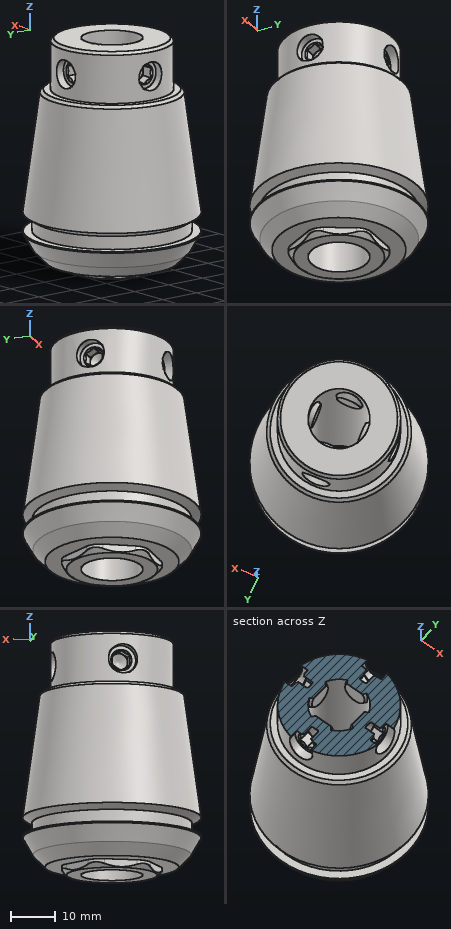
import cadquery as cq
import math

total_height = 54.0
bore_radius = 14.0 / 2

collar_radius = 28.0 / 2
shoulder_z = 42.0
edge_chamfer = 0.7

sleeve_top_radius = 16.34
sleeve_base_radius = 40.64 / 2
sleeve_base_z = 13.2
undercut_angle = 30.0

groove_radius = 36.4 / 2

nut_radius = 40.55 / 2
nut_top_z = 8.9
nut_rim_height = 0.35
nut_break_radius = 18.05
nut_break_z = 4.68
nut_bottom_z = 1.85

hex_across_flats = 21.0
hex_corner_radius = 4.0
hex_chamfer_base_radius = 10.35

screw_count = 4
screw_z = 47.6
screw_radius = 8.0 / 2
screw_length = 6.0
screw_tip_position = 5.6
screw_tip_radius = 2.88
screw_tip_angle = 30.0
screw_hole_radius = 6.65 / 2
socket_across_flats = 4.0
socket_depth = 3.0
socket_chamfer_radius = 4.8 / 2
drill_point_angle = 120.0

screw_head_position = screw_tip_position + screw_length


def hexagon_corner_diameter(across_flats):
    return across_flats / math.cos(math.radians(30))


def make_turned_body():
    """Collar, sleeve, groove and clamping nut as one revolved profile."""
    sleeve_slope = (sleeve_base_radius - sleeve_top_radius) / (shoulder_z - sleeve_base_z)
    undercut_height = (sleeve_base_radius - groove_radius) * math.tan(math.radians(undercut_angle))
    nut_bottom_radius = nut_break_radius - (nut_break_z - nut_bottom_z)
    profile = [
        (0, total_height),
        (collar_radius - edge_chamfer, total_height),
        (collar_radius, total_height - edge_chamfer),
        (collar_radius, shoulder_z),
        (sleeve_top_radius - edge_chamfer, shoulder_z),
        (sleeve_top_radius + sleeve_slope * edge_chamfer, shoulder_z - edge_chamfer),
        (sleeve_base_radius, sleeve_base_z),
        (groove_radius, sleeve_base_z - undercut_height),
        (groove_radius, nut_top_z),
        (nut_radius, nut_top_z),
        (nut_radius, nut_top_z - nut_rim_height),
        (nut_break_radius, nut_break_z),
        (nut_bottom_radius, nut_bottom_z),
        (0, nut_bottom_z),
    ]
    return cq.Workplane("XZ").polyline(profile).close().revolve(360, (0, 0, 0), (0, 1, 0))


def make_hexagon_end():
    """Hexagon with rounded corners, its lower edge turned to a 45 degree cone."""
    prism = (
        cq.Workplane("XY")
        .polygon(6, hexagon_corner_diameter(hex_across_flats))
        .extrude(nut_bottom_z)
        .edges("|Z")
        .fillet(hex_corner_radius)
    )
    cone = cq.Workplane(
        cq.Solid.makeCone(hex_chamfer_base_radius, hex_chamfer_base_radius + nut_bottom_z, nut_bottom_z)
    )
    return prism.intersect(cone)


def radial_cone(outer_radius, inner_radius, length, start):
    """Cone around +X that runs inward from the distance `start`."""
    return cq.Workplane(
        cq.Solid.makeCone(outer_radius, inner_radius, length, cq.Vector(start, 0, screw_z), cq.Vector(-1, 0, 0))
    )


def make_socket():
    """Hexagon socket with a chamfered mouth and a conical floor."""
    socket_radius = socket_across_flats / 2
    hexagon = (
        cq.Workplane("YZ", origin=(screw_head_position, 0, screw_z))
        .transformed(rotate=(0, 0, 90))
        .polygon(6, hexagon_corner_diameter(socket_across_flats))
        .extrude(-socket_depth)
    )
    mouth_depth = socket_chamfer_radius - socket_radius
    mouth = radial_cone(socket_chamfer_radius, socket_radius, mouth_depth, screw_head_position)
    floor_depth = socket_radius / math.tan(math.radians(drill_point_angle / 2))
    floor = radial_cone(socket_radius, 0, floor_depth, screw_head_position - socket_depth)
    return hexagon.union(mouth).union(floor)


def make_screw_tip():
    """Tapered tip on the +X side; it reaches into the bore and its wide end is buried in the collar."""
    tip_length = (screw_radius - screw_tip_radius) / math.tan(math.radians(screw_tip_angle))
    return radial_cone(screw_radius, screw_tip_radius, tip_length, screw_tip_position + tip_length)


def make_screw_recess():
    """Radial hole in the +X wall of the collar down to the screw head, with the socket below it."""
    hole = (
        cq.Workplane("YZ", origin=(screw_head_position, 0, screw_z))
        .circle(screw_hole_radius)
        .extrude(collar_radius - screw_head_position)
    )
    return hole.union(make_socket())


def make_part():
    """Body and hexagon with the bore through both; each set screw is one piece with the collar."""
    part = make_turned_body().union(make_hexagon_end())
    part = part.cut(cq.Workplane("XY").circle(bore_radius).extrude(total_height))
    screw_tip = make_screw_tip()
    screw_recess = make_screw_recess()
    axis_start = (0, 0, 0)
    axis_end = (0, 0, 1)
    for index in range(screw_count):
        angle = index * 360 / screw_count
        part = part.union(screw_tip.rotate(axis_start, axis_end, angle))
        part = part.cut(screw_recess.rotate(axis_start, axis_end, angle))
    return part


result = make_part()